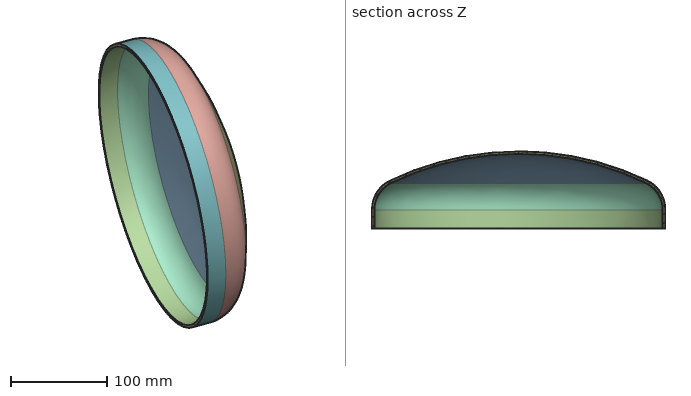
import cadquery as cq
import math

outer_diameter = 306.0
wall = 3.0
flange_length = 20.0

knuckle_ratio = 0.1
crown_radius = outer_diameter
knuckle_radius = outer_diameter * knuckle_ratio

inner_radius = outer_diameter / 2 - wall
knuckle_center_x = inner_radius - knuckle_radius
knuckle_center_y = flange_length
tangent_angle = math.asin(knuckle_center_x / (crown_radius - knuckle_radius))
crown_center_y = knuckle_center_y - (crown_radius - knuckle_radius) * math.cos(tangent_angle)


def knuckle_point(radius, angle):
    """Point on a knuckle arc, with the angle measured from the Y axis."""
    x = knuckle_center_x + radius * math.sin(angle)
    y = knuckle_center_y + radius * math.cos(angle)
    return (x, y)


def crown_point(radius, angle):
    """Point on a crown arc, with the angle measured from the Y axis."""
    return (radius * math.sin(angle), crown_center_y + radius * math.cos(angle))


def solid_head(offset):
    """Solid bounded by the inner surface moved outward by the offset."""
    flange_radius = inner_radius + offset
    knuckle = knuckle_radius + offset
    crown = crown_radius + offset
    knuckle_mid_angle = (tangent_angle + math.pi / 2) / 2
    return (
        cq.Workplane("XY")
        .lineTo(flange_radius, 0)
        .lineTo(flange_radius, flange_length)
        .threePointArc(
            knuckle_point(knuckle, knuckle_mid_angle),
            knuckle_point(knuckle, tangent_angle),
        )
        .threePointArc(crown_point(crown, tangent_angle / 2), crown_point(crown, 0))
        .close()
        .revolve(360, (0, 0, 0), (0, 1, 0))
    )


result = solid_head(wall).cut(solid_head(0))